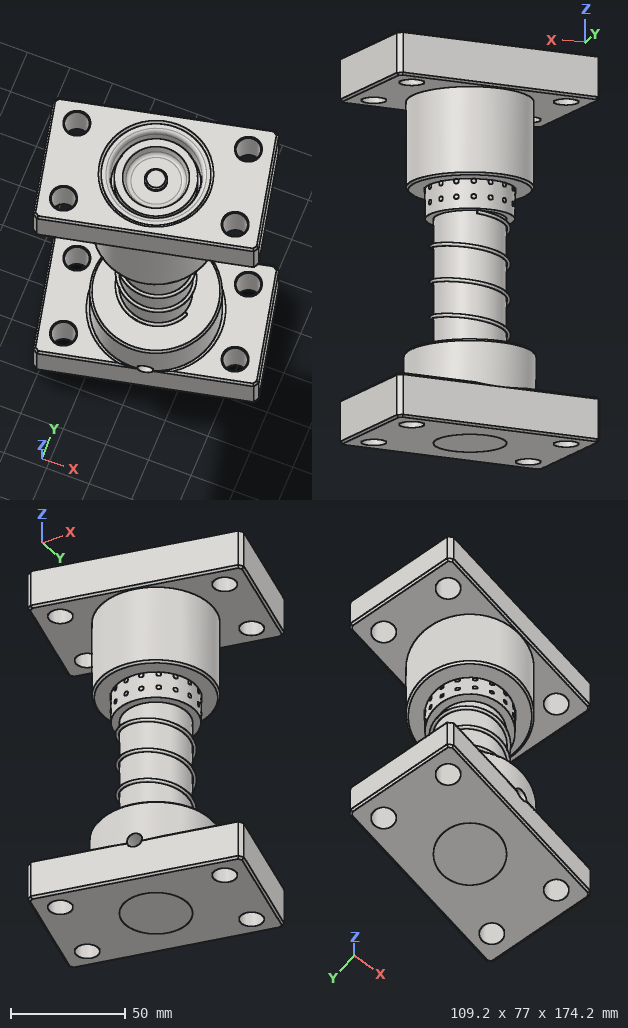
import cadquery as cq
import math

plate_length = 100.0
plate_width = 58.0
plate_thickness = 20.0
plate_corner_chamfer = 2.0
plate_edge_chamfer = 1.0
plate_turn = 12.2
total_height = 174.22

bolt_hole_diameter = 11.0
bolt_hole_chamfer = 0.5
bolt_spacing_length = 76.0
bolt_spacing_width = 36.0
bush_seat_depth = 0.8
bush_seat_flare = 1.2
collar_seat_depth = 0.9
collar_seat_flare = 1.5

post_radius = 16.0
collar_radius = 29.0
collar_height = 20.0
collar_chamfer = 1.0
key_hole_diameter = 7.0

bush_radius = 28.0
bush_neck_radius = 24.0
bush_drop = 40.0
bush_shoulder_gap = 0.5
bush_chamfer = 1.0
bush_mouth_fillet = 2.0

cage_radius = 19.7
cage_bottom = 101.0
ball_radius = 2.0
balls_per_row = 16
ball_row_pitch = 7.0
first_ball_row = 5.4

wire_radius = 0.8
spring_radius = 17.0
spring_pitch = 16.0

cap_radius = 18.3
cap_depth = 4.2
cap_floor_thickness = 3.0
dish_mouth_radius = 14.6
dish_depth = 3.6
dish_slope = 60.0
dish_fillet = 2.5

pin_radius = 5.0
pin_stand = 2.2
pin_chamfer = 0.8

bore_radius = post_radius + 2 * ball_radius
collar_top = plate_thickness + collar_height
seat_level = plate_thickness - collar_seat_depth
upper_plate_bottom = total_height - plate_thickness
bush_shoulder = upper_plate_bottom - bush_shoulder_gap
bush_bottom = upper_plate_bottom - bush_drop
bush_top = total_height - bush_seat_depth
cap_top = total_height - cap_depth
dish_floor = cap_top - dish_depth
cap_bottom = dish_floor - cap_floor_thickness


def cylinder(radius, bottom, top):
    return cq.Workplane("XY").workplane(offset=bottom).circle(radius).extrude(top - bottom)


def flared_hole(radius, flare, bottom, top):
    """Cutter for a seat that widens by `flare` towards the top."""
    mouth = radius + flare
    outline = [(0, bottom), (radius, bottom), (mouth, top), (0, top)]
    return cq.Workplane("XZ").polyline(outline).close().revolve(360, (0, 0, 0), (0, 1, 0))


def turned(body):
    return body.rotate((0, 0, 0), (0, 0, 1), plate_turn)


def plate_blank(bottom):
    """Chamfered plate with its four bolt holes, square to the axes."""
    top = bottom + plate_thickness
    plate = (
        cq.Workplane("XY").workplane(offset=bottom)
        .rect(plate_length, plate_width).extrude(plate_thickness)
        .edges("|Z").chamfer(plate_corner_chamfer)
        .faces("<Z or >Z").edges().chamfer(plate_edge_chamfer)
    )
    return (
        plate.faces(">Z").workplane(origin=(0, 0, top))
        .rect(bolt_spacing_length, bolt_spacing_width, forConstruction=True).vertices()
        .cskHole(bolt_hole_diameter, bolt_hole_diameter + 2 * bolt_hole_chamfer, 90)
    )


def key_hole():
    """Cutter for the radial hole on the joint between lower plate and collar."""
    return (
        cq.Workplane("XZ").center(0, plate_thickness)
        .circle(key_hole_diameter / 2).extrude(plate_width)
    )


lower_plate = turned(
    plate_blank(0)
    .cut(key_hole())
    .cut(flared_hole(collar_radius, collar_seat_flare, seat_level, plate_thickness))
    .cut(cylinder(post_radius, 0, plate_thickness))
)
upper_plate = turned(
    plate_blank(upper_plate_bottom)
    .cut(cylinder(bush_neck_radius, upper_plate_bottom, total_height))
    .cut(flared_hole(bush_neck_radius, bush_seat_flare, bush_top, total_height))
)

post = cylinder(post_radius, 0, cap_bottom)
collar = turned(
    cylinder(collar_radius, seat_level, collar_top)
    .faces(">Z").edges().chamfer(collar_chamfer)
    .cut(cylinder(post_radius, seat_level, collar_top))
    .cut(key_hole())
)

bush = (
    cylinder(bush_radius, bush_bottom, bush_shoulder)
    .faces("<Z").edges().chamfer(bush_chamfer)
    .union(cylinder(bush_neck_radius, bush_shoulder, bush_top))
    .cut(cylinder(bore_radius, bush_bottom, bush_top))
    .faces(">Z").edges(cq.selectors.RadiusNthSelector(0)).fillet(bush_mouth_fillet)
)


def ball_cage():
    """Sleeve on the post with rows of balls standing a little proud of it."""
    cage = cylinder(cage_radius, cage_bottom, cap_bottom)
    row_count = 1 + int((cap_bottom - ball_radius - cage_bottom - first_ball_row) / ball_row_pitch)
    ball_centre_radius = post_radius + ball_radius
    ball = cq.Workplane("XY").sphere(ball_radius)
    balls = []
    for row in range(row_count):
        level = cage_bottom + first_ball_row + row * ball_row_pitch
        for place in range(balls_per_row):
            angle = math.radians(plate_turn - 90 + place * 360 / balls_per_row)
            centre = (ball_centre_radius * math.cos(angle), ball_centre_radius * math.sin(angle), level)
            balls.append(ball.translate(centre).val())
    cage = cq.Workplane(cage.val().fuse(*balls))
    return cage.cut(cylinder(post_radius, cage_bottom, cap_bottom))


cage = ball_cage()


def coil_spring():
    """Left-handed coil standing on the collar and reaching the cage."""
    bottom = collar_top + wire_radius
    height = cage_bottom - collar_top - 2 * wire_radius
    start_angle = -360 * wire_radius / spring_pitch
    path = cq.Workplane(cq.Wire.makeHelix(spring_pitch, height, spring_radius, lefthand=True))
    wire = cq.Workplane("XZ").center(spring_radius, 0).circle(wire_radius).sweep(path, isFrenet=True)
    return wire.rotate((0, 0, 0), (0, 0, 1), start_angle).translate((0, 0, bottom))


spring = coil_spring()


def dish():
    """Cutter for the dish: a sloping wall rounded into a flat floor."""
    slope = math.radians(dish_slope)
    foot_radius = dish_mouth_radius - dish_depth / math.tan(slope)
    tangent_length = dish_fillet * math.tan(slope / 2)
    floor_radius = foot_radius - tangent_length
    arc_centre = dish_floor + dish_fillet

    def on_fillet(turn):
        return (floor_radius + dish_fillet * math.sin(turn), arc_centre - dish_fillet * math.cos(turn))

    return (
        cq.Workplane("XZ").moveTo(0, dish_floor).lineTo(floor_radius, dish_floor)
        .threePointArc(on_fillet(slope / 2), on_fillet(slope))
        .lineTo(dish_mouth_radius, cap_top).lineTo(0, cap_top).close()
        .revolve(360, (0, 0, 0), (0, 1, 0))
    )


pin_top = dish_floor + pin_stand
pin = cylinder(pin_radius, cap_bottom, pin_top).faces(">Z").edges().chamfer(pin_chamfer)
cap = (
    cylinder(cap_radius, cap_bottom, cap_top)
    .cut(dish())
    .cut(cylinder(pin_radius, cap_bottom, cap_top))
)

result = cq.Compound.makeCompound([
    lower_plate.val(),
    upper_plate.val(),
    post.val(),
    collar.val(),
    bush.val(),
    cage.val(),
    spring.val(),
    cap.val(),
    pin.val(),
])